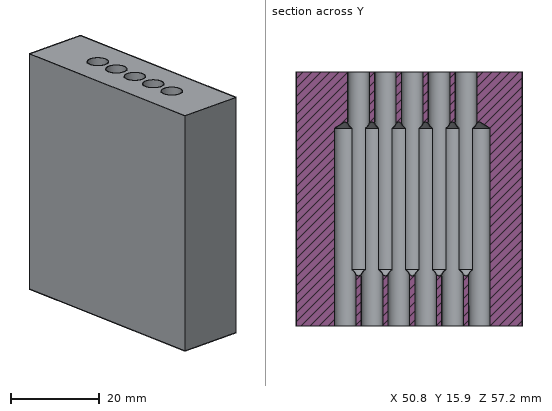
import cadquery as cq
import math

LENGTH = 50.8
WIDTH = 15.875
HEIGHT = 57.15

HOLE_DIAMETER = 4.7625
HOLE_PITCH = 6.0325
UPPER_COUNT = 5
LOWER_COUNT = UPPER_COUNT + 1
ROW_CENTER_X = 0.67
HOLE_DEPTH = 44.45
DRILL_POINT_ANGLE = 118.0

HOLE_RADIUS = HOLE_DIAMETER / 2
POINT_LENGTH = HOLE_RADIUS / math.tan(math.radians(DRILL_POINT_ANGLE / 2))


def drilled_hole(x, face_z, inward):
    """Blind hole with a conical end; inward is +1 or -1, the drilling direction along Z."""
    shoulder_z = face_z + inward * HOLE_DEPTH
    tip_z = shoulder_z + inward * POINT_LENGTH
    half_profile = (
        cq.Workplane("XZ")
        .moveTo(0, face_z)
        .lineTo(HOLE_RADIUS, face_z)
        .lineTo(HOLE_RADIUS, shoulder_z)
        .lineTo(0, tip_z)
        .close()
    )
    return half_profile.revolve(360, (0, 0, 0), (0, 1, 0)).translate((x, 0, 0))


def drill_row(body, count, face_z, inward):
    """Cut a row of evenly spaced holes, centred on ROW_CENTER_X."""
    first_x = ROW_CENTER_X - (count - 1) * HOLE_PITCH / 2
    for index in range(count):
        body = body.cut(drilled_hole(first_x + index * HOLE_PITCH, face_z, inward))
    return body


block = cq.Workplane("XY").box(LENGTH, WIDTH, HEIGHT)
upper_drilled = drill_row(block, UPPER_COUNT, HEIGHT / 2, -1)
result = drill_row(upper_drilled, LOWER_COUNT, -HEIGHT / 2, 1)